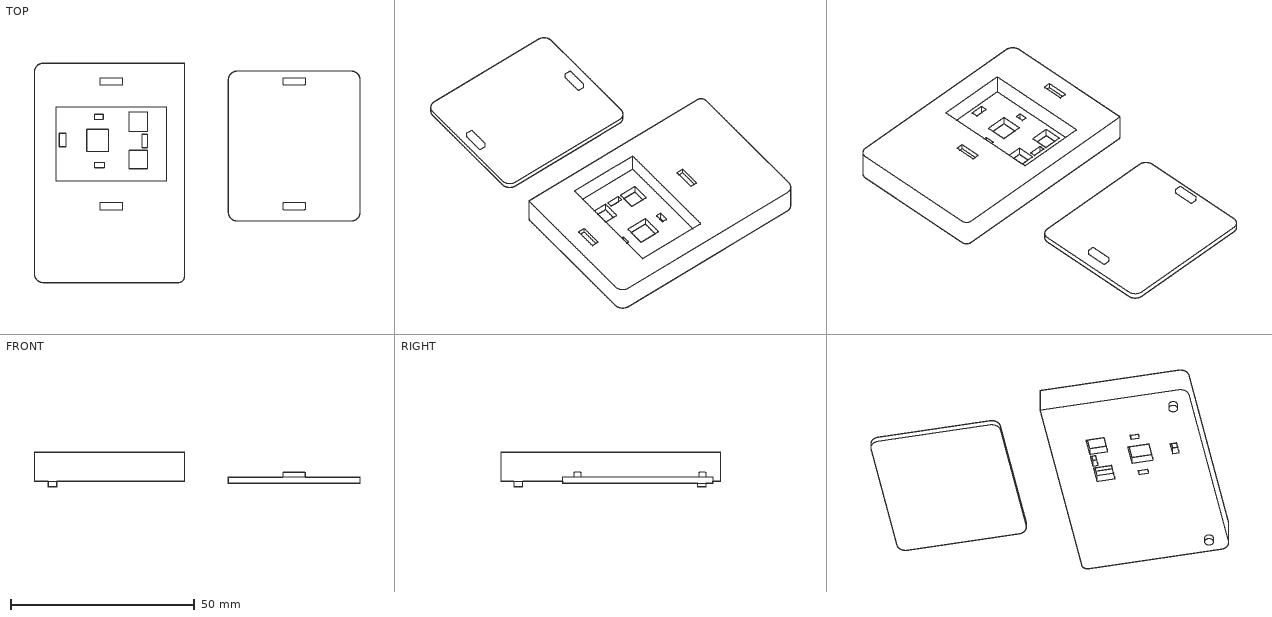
import cadquery as cq

OVERALL_LENGTH = 89.0

HOUSING_WIDTH = 41.0
HOUSING_DEPTH = 60.0
HOUSING_HEIGHT = 8.0
CORNER_RADIUS = 2.5
SMALL_CORNER_RADIUS = 1.7

POCKET_CENTER = (21.0, -22.1)
POCKET_SIZE = (30.3, 20.1)
POCKET_DEPTH = 5.6

MAIN_WINDOW_CENTER = (17.3, -21.1)
MAIN_WINDOW_SIZE = (5.9, 6.05)
SIDE_WINDOW_X = 28.4
SIDE_WINDOW_WIDTH = 5.0
BACK_SIDE_WINDOW_Y = -16.0
BACK_SIDE_WINDOW_DEPTH = 5.25
FRONT_SIDE_WINDOW_Y = -26.3
FRONT_SIDE_WINDOW_DEPTH = 5.0
LEFT_SLIT_CENTER = (7.7, -21.0)
LEFT_SLIT_SIZE = (1.8, 3.65)
RIGHT_SLIT_CENTER = (30.2, -21.3)
RIGHT_SLIT_SIZE = (1.4, 3.65)
BACK_SLIT_CENTER = (17.6, -14.7)
BACK_SLIT_SIZE = (2.3, 1.4)
FRONT_SLIT_CENTER = (17.8, -27.9)
FRONT_SLIT_SIZE = (2.7, 1.4)

FOOT_DIAMETER = 2.4
FOOT_HEIGHT = 1.5
FOOT_X = 5.0
BACK_FOOT_Y = -5.2
FRONT_FOOT_Y = -55.3

PLATE_WIDTH = 36.05
PLATE_DEPTH = 41.0
PLATE_THICKNESS = 1.7
PLATE_BACK_Y = -2.1
PLATE_BOTTOM_Z = -0.5
PLATE_CENTER_X = OVERALL_LENGTH - PLATE_WIDTH / 2
PLATE_CENTER_Y = PLATE_BACK_Y - PLATE_DEPTH / 2
PLATE_TOP_Z = PLATE_BOTTOM_Z + PLATE_THICKNESS

TAB_SIZE = (6.1, 2.0)
TAB_HEIGHT = 1.3
TAB_EDGE_RADIUS = 0.3
BACK_TAB_Y = -5.0
TAB_SPACING = 34.1
TAB_ROWS = (BACK_TAB_Y, BACK_TAB_Y - TAB_SPACING)
SLOT_DEPTH = 1.5


def block(center, size, bottom, height):
    """Upright rectangular block centred at (x, y) and rising from z = bottom."""
    return (
        cq.Workplane("XY", origin=(*center, bottom))
        .rect(*size)
        .extrude(height)
    )


def make_housing_block():
    """Rounded block whose right back corner stays square."""
    center = (HOUSING_WIDTH / 2, -HOUSING_DEPTH / 2)
    body = block(center, (HOUSING_WIDTH, HOUSING_DEPTH), 0, HOUSING_HEIGHT)
    body = body.edges("|Z and <X").fillet(CORNER_RADIUS)
    return body.edges("|Z and >X").edges("<Y").fillet(SMALL_CORNER_RADIUS)


def cut_floor_windows(body):
    """Cut the rectangular windows through the floor of the pocket."""
    windows = [
        (MAIN_WINDOW_CENTER, MAIN_WINDOW_SIZE),
        ((SIDE_WINDOW_X, BACK_SIDE_WINDOW_Y), (SIDE_WINDOW_WIDTH, BACK_SIDE_WINDOW_DEPTH)),
        ((SIDE_WINDOW_X, FRONT_SIDE_WINDOW_Y), (SIDE_WINDOW_WIDTH, FRONT_SIDE_WINDOW_DEPTH)),
        (LEFT_SLIT_CENTER, LEFT_SLIT_SIZE),
        (RIGHT_SLIT_CENTER, RIGHT_SLIT_SIZE),
        (BACK_SLIT_CENTER, BACK_SLIT_SIZE),
        (FRONT_SLIT_CENTER, FRONT_SLIT_SIZE),
    ]
    for center, size in windows:
        body = body.cut(block(center, size, 0, HOUSING_HEIGHT))
    return body


def make_housing():
    """Housing with its pocket, floor windows, tab slots and feet."""
    body = make_housing_block()
    pocket_floor = HOUSING_HEIGHT - POCKET_DEPTH
    body = body.cut(block(POCKET_CENTER, POCKET_SIZE, pocket_floor, POCKET_DEPTH))
    body = cut_floor_windows(body)

    slot_x = POCKET_CENTER[0]
    slot_floor = HOUSING_HEIGHT - SLOT_DEPTH
    for row in TAB_ROWS:
        body = body.cut(block((slot_x, row), TAB_SIZE, slot_floor, SLOT_DEPTH))

    for foot_y in (BACK_FOOT_Y, FRONT_FOOT_Y):
        foot = (
            cq.Workplane("XY", origin=(FOOT_X, foot_y, -FOOT_HEIGHT))
            .circle(FOOT_DIAMETER / 2)
            .extrude(FOOT_HEIGHT)
        )
        body = body.union(foot)
    return body


def make_plate():
    """Rounded cover plate carrying two upright tabs with rounded edges."""
    center = (PLATE_CENTER_X, PLATE_CENTER_Y)
    body = block(center, (PLATE_WIDTH, PLATE_DEPTH), PLATE_BOTTOM_Z, PLATE_THICKNESS)
    body = body.edges("|Z").fillet(CORNER_RADIUS)
    for row in TAB_ROWS:
        tab = block((PLATE_CENTER_X, row), TAB_SIZE, PLATE_TOP_Z, TAB_HEIGHT)
        body = body.union(tab.edges("|Z or >Z").fillet(TAB_EDGE_RADIUS))
    return body


housing = make_housing()
plate = make_plate()

result = cq.Compound.makeCompound([housing.val(), plate.val()])